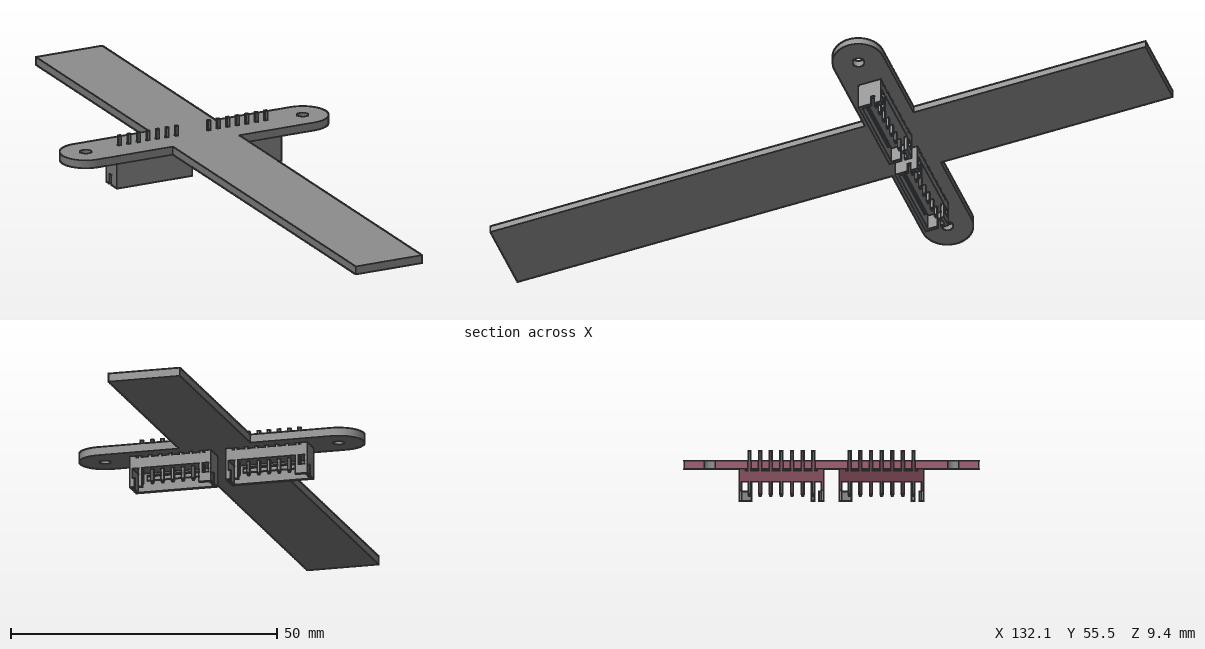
import cadquery as cq

BOARD_THICKNESS = 1.6
STRIP_LENGTH = 132.09
STRIP_WIDTH = 14.0
STRIP_LEFT_REACH = 51.65
ARM_LENGTH = 55.5
ARM_WIDTH = 9.8
MOUNT_HOLE_DIAMETER = 2.2
MOUNT_HOLE_SPACING = ARM_LENGTH - ARM_WIDTH
PIN_HOLE_DIAMETER = 0.75

PIN_COUNT = 7
PIN_PITCH = 2.0
PIN_SIZE = 0.53
PIN_RISE = 3.4
PIN_TIP_GAP = 0.9
PIN_TIP_LENGTH = 0.4
PIN_TIP_SIZE = 0.25
PIN_X = -0.65

HOUSING_LENGTH = 15.9
HOUSING_WIDTH = 4.5
HOUSING_HEIGHT = 6.0
PIN_TO_FRONT = 1.7
CONNECTOR_SPACING = 18.8
CAVITY_DEPTH = 3.6
FRONT_WALL = 0.6
BACK_WALL = 0.6
END_WALL = 0.5
FRONT_OPENING_LENGTH = 11.2
END_SLOT_WIDTH = 0.7
END_SLOT_HEIGHT = 2.0

LATCH_WINDOW_WIDTH = 1.2
LATCH_WINDOW_HEIGHT = 1.8
KEY_SLOT_WIDTH = 0.8

LEDGE_DEPTH = 0.3
LEDGE_TOP = 2.8
LEDGE_SHOULDER = 3.15
LEDGE_BOTTOM = 3.9

RELIEF_HEIGHT = 0.3
RIB_WIDTH = 0.65
END_FOOT_LENGTH = 1.25

HOUSING_FRONT = PIN_X - PIN_TO_FRONT
HOUSING_BACK = HOUSING_FRONT + HOUSING_WIDTH
INNER_BACK = HOUSING_BACK - BACK_WALL
HOUSING_BOTTOM = -HOUSING_HEIGHT
CAVITY_FLOOR = HOUSING_BOTTOM + CAVITY_DEPTH
CONNECTOR_CENTRES = [-CONNECTOR_SPACING / 2, CONNECTOR_SPACING / 2]


def block(x_range, y_range, z_range):
    """Box between the given limits along X, Y and Z."""
    size = [high - low for low, high in (x_range, y_range, z_range)]
    corner = (x_range[0], y_range[0], z_range[0])
    return cq.Workplane("XY").box(*size, centered=False).translate(corner)


def pin_positions(centre_y):
    """XY position of each pin of the connector centred at centre_y."""
    first = centre_y - PIN_PITCH * (PIN_COUNT - 1) / 2
    return [(PIN_X, first + PIN_PITCH * i) for i in range(PIN_COUNT)]


def make_board():
    strip_centre_x = STRIP_LENGTH / 2 - STRIP_LEFT_REACH
    strip = (
        cq.Workplane("XY")
        .center(strip_centre_x, 0)
        .rect(STRIP_LENGTH, STRIP_WIDTH)
        .extrude(BOARD_THICKNESS)
    )
    arm = cq.Workplane("XY").slot2D(ARM_LENGTH, ARM_WIDTH, 90).extrude(BOARD_THICKNESS)
    mount_holes = (
        cq.Workplane("XY")
        .rarray(1, MOUNT_HOLE_SPACING, 1, 2)
        .circle(MOUNT_HOLE_DIAMETER / 2)
        .extrude(BOARD_THICKNESS)
    )
    board = strip.union(arm).cut(mount_holes)
    for centre_y in CONNECTOR_CENTRES:
        pin_holes = (
            cq.Workplane("XY")
            .pushPoints(pin_positions(centre_y))
            .circle(PIN_HOLE_DIAMETER / 2)
            .extrude(BOARD_THICKNESS)
        )
        board = board.cut(pin_holes)
    return board


def make_pins(centre_y):
    """Square pins, each tapering at its lower tip."""
    tip_z = HOUSING_BOTTOM + PIN_TIP_GAP
    shank_z = tip_z + PIN_TIP_LENGTH
    pins = (
        cq.Workplane("XY", origin=(0, 0, shank_z))
        .pushPoints(pin_positions(centre_y))
        .rect(PIN_SIZE, PIN_SIZE)
        .extrude(PIN_RISE - shank_z)
    )
    for x, y in pin_positions(centre_y):
        tip = (
            cq.Workplane("XY", origin=(x, y, tip_z))
            .rect(PIN_TIP_SIZE, PIN_TIP_SIZE)
            .workplane(offset=PIN_TIP_LENGTH)
            .rect(PIN_SIZE, PIN_SIZE)
            .loft()
        )
        pins = pins.union(tip)
    return pins


def cut_openings(body, centre_y):
    """Cavity, front opening, end slots, and the latch windows with their key slot."""
    low_y = centre_y - HOUSING_LENGTH / 2
    high_y = centre_y + HOUSING_LENGTH / 2
    inner_front = HOUSING_FRONT + FRONT_WALL
    front_wall_x = (HOUSING_FRONT, inner_front)
    opening_z = (HOUSING_BOTTOM, CAVITY_FLOOR)
    window_bottom = CAVITY_FLOOR - LATCH_WINDOW_HEIGHT
    window_z = (window_bottom, CAVITY_FLOOR)
    low_window_start = low_y + END_WALL
    high_window_start = high_y - END_WALL - LATCH_WINDOW_WIDTH
    half_opening = FRONT_OPENING_LENGTH / 2
    half_slot = END_SLOT_WIDTH / 2

    cavity = block((inner_front, INNER_BACK), (low_y + END_WALL, high_y - END_WALL), opening_z)
    front_opening = block(front_wall_x, (centre_y - half_opening, centre_y + half_opening), opening_z)
    end_slots = block(
        (PIN_X - half_slot, PIN_X + half_slot),
        (low_y, high_y),
        (HOUSING_BOTTOM, HOUSING_BOTTOM + END_SLOT_HEIGHT),
    )
    key_slot = block(
        front_wall_x,
        (high_window_start, high_window_start + KEY_SLOT_WIDTH),
        (HOUSING_BOTTOM, window_bottom),
    )
    body = body.cut(cavity).cut(front_opening).cut(end_slots).cut(key_slot)
    for start_y in (low_window_start, high_window_start):
        body = body.cut(block(front_wall_x, (start_y, start_y + LATCH_WINDOW_WIDTH), window_z))
    return body


def cut_reliefs(body, centre_y):
    """Shallow reliefs under the board, between the pin ribs and the end feet."""
    half_span = HOUSING_LENGTH / 2 - END_FOOT_LENGTH
    pin_ys = [y for _, y in pin_positions(centre_y)]
    starts = [centre_y - half_span] + [y + RIB_WIDTH / 2 for y in pin_ys]
    ends = [y - RIB_WIDTH / 2 for y in pin_ys] + [centre_y + half_span]
    for y_range in zip(starts, ends):
        body = body.cut(block((HOUSING_FRONT, HOUSING_BACK), y_range, (-RELIEF_HEIGHT, 0)))
    return body


def make_ledge(centre_y):
    ledge_front = INNER_BACK - LEDGE_DEPTH
    return (
        cq.Workplane("XZ", origin=(0, centre_y, 0))
        .moveTo(INNER_BACK, -LEDGE_TOP)
        .lineTo(ledge_front, -LEDGE_SHOULDER)
        .lineTo(ledge_front, -LEDGE_BOTTOM)
        .lineTo(INNER_BACK, -LEDGE_BOTTOM)
        .close()
        .extrude(FRONT_OPENING_LENGTH / 2, both=True)
    )


def make_housing(centre_y):
    half_length = HOUSING_LENGTH / 2
    body = block(
        (HOUSING_FRONT, HOUSING_BACK),
        (centre_y - half_length, centre_y + half_length),
        (HOUSING_BOTTOM, 0),
    )
    body = cut_openings(body, centre_y)
    body = cut_reliefs(body, centre_y)
    return body.union(make_ledge(centre_y))


def make_connector(centre_y):
    return make_housing(centre_y).union(make_pins(centre_y))


board = make_board()
connectors = [make_connector(centre_y) for centre_y in CONNECTOR_CENTRES]

result = cq.Compound.makeCompound([board.val(), *[connector.val() for connector in connectors]])